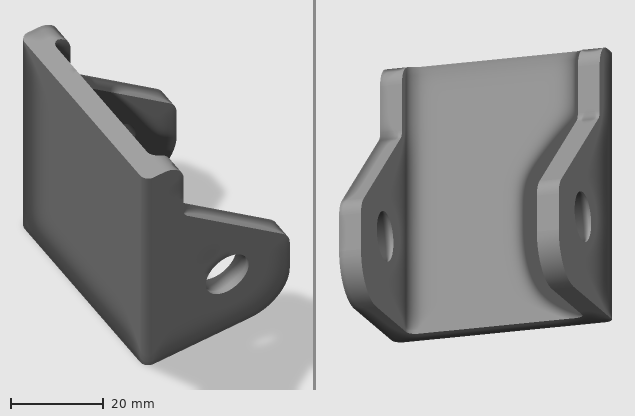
import cadquery as cq
import math

height = 60.0
width = 50.0
depth = 37.0
thickness = 5.0
outer_bend_radius = 2.1
inner_bend_radius = 2.1

upper_depth = 9.85
slope_top = 43.25
slope_angle = 40.0
slope_bottom = slope_top - (depth - upper_depth) * math.tan(math.radians(slope_angle))
top_radius = 5.0
inside_radius = 2.5
shoulder_radius = 5.0
bottom_radius = 10.0

hole_diameter = 11.0
hole_y = 21.0
hole_z = 17.5


def channel():
    """U-shaped channel, open toward +Y, with rounded bends."""
    outer = cq.Workplane("XY").box(width, depth, height, centered=(True, False, False))
    outer = outer.edges("|Z and <Y").fillet(outer_bend_radius)
    cavity = (
        cq.Workplane("XY")
        .box(width - 2 * thickness, depth, height, centered=(True, False, False))
        .translate((0, thickness, 0))
        .edges("|Z and <Y")
        .fillet(inner_bend_radius)
    )
    return outer.cut(cavity)


def round_corner(body, y, z, radius):
    """Round the profile corner that runs along X at (y, z)."""
    reach = 0.05
    corner = cq.selectors.BoxSelector(
        (-width, y - reach, z - reach), (width, y + reach, z + reach)
    )
    return body.edges(corner).fillet(radius)


def side_profile():
    """Side outline of the flanges, extruded across the full width."""
    body = (
        cq.Workplane("YZ")
        .polyline([
            (0, 0),
            (depth, 0),
            (depth, slope_bottom),
            (upper_depth, slope_top),
            (upper_depth, height),
            (0, height),
        ])
        .close()
        .extrude(width / 2, both=True)
    )
    body = round_corner(body, depth, 0, bottom_radius)
    body = round_corner(body, depth, slope_bottom, shoulder_radius)
    body = round_corner(body, upper_depth, slope_top, inside_radius)
    return round_corner(body, upper_depth, height, top_radius)


cross_hole = (
    cq.Workplane("YZ")
    .center(hole_y, hole_z)
    .circle(hole_diameter / 2)
    .extrude(width / 2, both=True)
)

result = channel().intersect(side_profile()).cut(cross_hole)